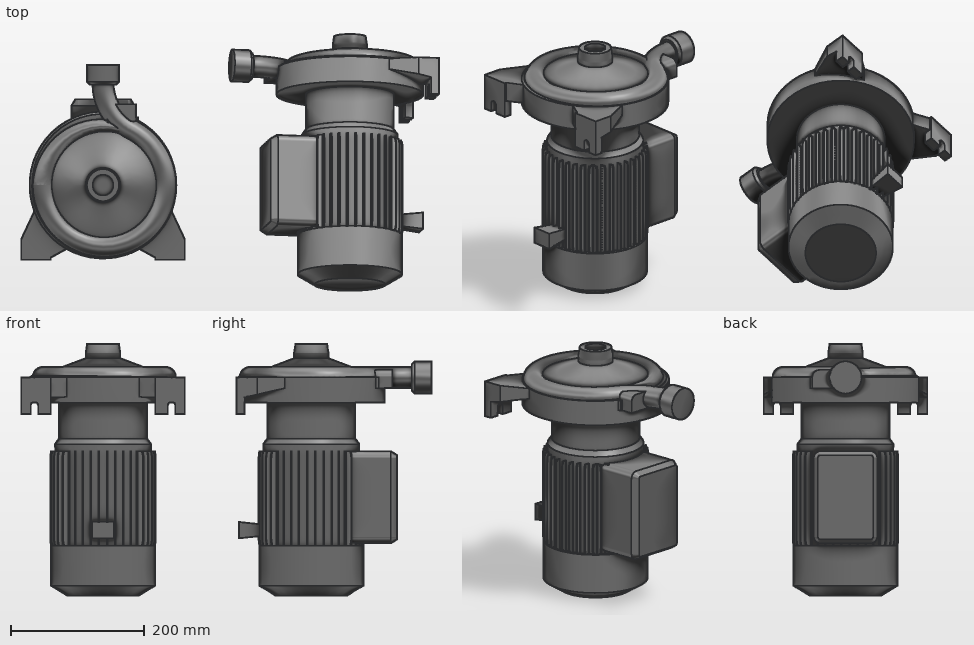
import cadquery as cq
import math

COVER_RADIUS = 78.2
COVER_END_RADIUS = 53.0
COVER_CHAMFER_TOP_Z = 15.4
COVER_TOP_Z = 75.0
CORE_RADIUS = 72.0
FIN_TOP_Z = 216.6
CORE_TOP_Z = 227.0
NECK_RADIUS = 66.0
NECK_BOTTOM_Z = 235.3

FIN_RADIUS = 79.3
FIN_THICKNESS = 1.5
FIN_PITCH_ANGLE = 9.0
FINS_PER_HALF_GROUP = 5
FIN_ROOT_DISTANCE = 45.0
FIN_END_RADIUS = 78.0
FIN_END_ROUND_HEIGHT = 12.0

CASING_RADIUS = 110.0
CASING_BOTTOM_Z = 289.0
CASING_RIM_Z = 326.8
CASING_TOP_Z = 329.4
CASING_BEVEL_WIDTH = 3.6
CONE_BASE_RADIUS = 95.6
INLET_BOTTOM_Z = 355.6
INLET_TAPER_Z = 363.6
INLET_TOP_Z = 377.0
INLET_RADIUS = 26.0
INLET_TOP_RADIUS = 24.0
INLET_BORE_RADIUS = 15.5
INLET_BORE_DEPTH = 11.5

TUBE_RADIUS = 16.0
TUBE_Z = CASING_RIM_Z
VOLUTE_RADIUS = 91.3
VOLUTE_CENTER_X = 2.0
VOLUTE_EXIT_ANGLE = 63.0
TAIL_START_ANGLE = 180.0
TAIL_SECTIONS = 5
TAIL_END_HALF_WIDTH = 8.4
TAIL_END_HALF_HEIGHT = 13.0
TAIL_END_INNER_RADIUS = 79.0
COLLAR_START_Y = 150.0
COLLAR_END_Y = 180.0
COLLAR_RADIUS = 24.1
COLLAR_CHAMFER = 4.5

BLOCK_INNER_Y = 90.0
BLOCK_OUTER_Y = 121.0
BLOCK_OUTER_X = 49.5
BLOCK_INNER_X = 6.0
BLOCK_TOP_Z = 338.0
BLOCK_BOTTOM_Z = 311.0
BLOCK_ROUND = 10.0
STEP_OUTER_X = 52.6
STEP_OUTER_Y = 101.3

FOOT_FACE_Y = -112.0
FOOT_OUTER_X = 122.5
FOOT_INNER_X = 78.0
FOOT_BOTTOM_Z = 272.0
FOOT_LEG_THICKNESS = 12.2
WEB_LOW_Z = 297.0
WEB_HIGH_Z = 310.8
WEB_REAR_Y = -39.5
SLOT_X = 102.6
SLOT_WIDTH = 11.0
SLOT_CENTER_Z = 284.5
WEB_REAR_X = 103.0
WEB_INNER_X = 50.0
WEB_INNER_Y = -93.0
FOOT_FLANK_Y = -81.0
FOOT_NOTCH_Y = -108.5
FOOT_PLAN = [
    (-FOOT_OUTER_X, FOOT_FACE_Y),
    (-FOOT_OUTER_X, FOOT_FLANK_Y),
    (-WEB_REAR_X, WEB_REAR_Y),
    (-WEB_INNER_X, WEB_REAR_Y),
    (-WEB_INNER_X, WEB_INNER_Y),
    (-FOOT_INNER_X, FOOT_NOTCH_Y),
    (-FOOT_INNER_X, FOOT_FACE_Y),
]

BOX_HALF_WIDTH = 47.4
BOX_BOTTOM_Z = 78.4
BOX_OUTER_Y = 128.6
BOX_INNER_Y = 40.0
BOX_CORNER_RADIUS = 10.0
BOX_CHAMFER_DEPTH = 9.8
BOX_CHAMFER_INSET = 6.0

LUG_WIDTH = 32.6
LUG_HEIGHT = 24.8
LUG_CENTER_Z = 98.3
LUG_FACE_Y = -108.5
LUG_LENGTH = 38.5
LUG_DRAFT_ANGLE = 6.0


def revolved(profile):
    """Solid of revolution about Z from (radius, z) points."""
    return cq.Workplane("XZ").polyline(profile).close().revolve(360, (0, 0), (0, 1))


def box_between(x0, x1, y0, y1, z0, z1):
    size = (x1 - x0, y1 - y0, z1 - z0)
    return cq.Workplane("XY").box(*size, centered=False).translate((x0, y0, z0))


def make_body():
    body = revolved([
        (0, 0),
        (COVER_END_RADIUS, 0),
        (COVER_RADIUS, COVER_CHAMFER_TOP_Z),
        (COVER_RADIUS, COVER_TOP_Z),
        (CORE_RADIUS, COVER_TOP_Z),
        (CORE_RADIUS, CORE_TOP_Z),
        (NECK_RADIUS, NECK_BOTTOM_Z),
        (NECK_RADIUS, CASING_BOTTOM_Z),
        (CASING_RADIUS, CASING_BOTTOM_Z),
        (CASING_RADIUS, CASING_RIM_Z),
        (CASING_RADIUS - CASING_BEVEL_WIDTH, CASING_TOP_Z),
        (CONE_BASE_RADIUS, CASING_TOP_Z),
        (INLET_RADIUS, INLET_BOTTOM_Z),
        (INLET_RADIUS, INLET_TAPER_Z),
        (INLET_TOP_RADIUS, INLET_TOP_Z),
        (0, INLET_TOP_Z),
    ])
    bore = (
        cq.Workplane("XY", origin=(0, 0, INLET_TOP_Z))
        .circle(INLET_BORE_RADIUS)
        .extrude(-INLET_BORE_DEPTH)
    )
    return body.cut(bore)


def make_fins():
    """Parallel plates in four groups, trimmed to a round envelope with eased ends."""
    middle_z = (COVER_TOP_Z + FIN_TOP_Z) / 2
    upper_envelope = (
        cq.Workplane("XZ")
        .moveTo(0, middle_z)
        .lineTo(FIN_RADIUS, middle_z)
        .lineTo(FIN_RADIUS, FIN_TOP_Z - FIN_END_ROUND_HEIGHT)
        .tangentArcPoint((FIN_END_RADIUS, FIN_TOP_Z), relative=False)
        .lineTo(0, FIN_TOP_Z)
        .close()
        .revolve(360, (0, 0), (0, 1))
    )
    envelope = upper_envelope.union(upper_envelope.mirror("XY", (0, 0, middle_z)))
    plates = []
    for index in range(FINS_PER_HALF_GROUP):
        angle = math.radians(FIN_PITCH_ANGLE * (index + 0.5))
        offset = FIN_RADIUS * math.sin(angle)
        for side in (-1, 1):
            center = side * offset
            plate = box_between(
                FIN_ROOT_DISTANCE, FIN_RADIUS,
                center - FIN_THICKNESS / 2, center + FIN_THICKNESS / 2,
                COVER_TOP_Z, FIN_TOP_Z,
            ).intersect(envelope)
            for turn in (0, 90, 180, 270):
                plates.append(plate.rotate((0, 0, 0), (0, 0, 1), turn))
    return plates


def tube_arc(bend_radius, start_angle, sweep_angle, center):
    """Round tube bent about a vertical axis through center, counterclockwise from start_angle."""
    tube = (
        cq.Workplane("XZ")
        .center(bend_radius, 0)
        .circle(TUBE_RADIUS)
        .revolve(sweep_angle, (-bend_radius, 0), (-bend_radius, 1))
    )
    return tube.rotate((0, 0, 0), (0, 0, 1), start_angle).translate(center)


def make_volute_ring():
    """Round tube running from the tail around to the outlet."""
    sweep_angle = 360 - TAIL_START_ANGLE + VOLUTE_EXIT_ANGLE
    return tube_arc(VOLUTE_RADIUS, TAIL_START_ANGLE, sweep_angle, (VOLUTE_CENTER_X, 0, TUBE_Z))


def make_volute_tail():
    """Narrowing end of the volute, from the full tube to a slim oval under the outlet."""
    start_inner = VOLUTE_RADIUS - TUBE_RADIUS
    sections = []
    for index in range(TAIL_SECTIONS):
        share = index / (TAIL_SECTIONS - 1)
        angle = TAIL_START_ANGLE + share * (VOLUTE_EXIT_ANGLE - TAIL_START_ANGLE)
        half_width = TUBE_RADIUS + share * (TAIL_END_HALF_WIDTH - TUBE_RADIUS)
        half_height = TUBE_RADIUS + share * (TAIL_END_HALF_HEIGHT - TUBE_RADIUS)
        inner = start_inner + share * (TAIL_END_INNER_RADIUS - start_inner)
        radius = inner + half_width
        radial = cq.Vector(math.cos(math.radians(angle)), math.sin(math.radians(angle)), 0)
        center = cq.Vector(VOLUTE_CENTER_X, 0, TUBE_Z) + radial * radius
        normal = radial.cross(cq.Vector(0, 0, 1))
        plane = cq.Plane(origin=center, xDir=cq.Vector(0, 0, -1), normal=normal)
        oval = cq.Workplane(plane).ellipse(half_height, half_width)
        sections.append(cq.Wire.assembleEdges(oval.vals()[0].Edges()))
    return cq.Workplane(cq.Solid.makeLoft(sections))


def make_outlet():
    """Pipe bending tangentially off the volute into the +Y direction, with an end collar."""
    exit_angle = math.radians(VOLUTE_EXIT_ANGLE)
    exit_x = VOLUTE_CENTER_X + VOLUTE_RADIUS * math.cos(exit_angle)
    bend_radius = exit_x / (1 - math.cos(exit_angle))
    bend_end_y = (VOLUTE_RADIUS + bend_radius) * math.sin(exit_angle)
    bend = tube_arc(bend_radius, 180, VOLUTE_EXIT_ANGLE, (bend_radius, bend_end_y, TUBE_Z))
    collar = (
        cq.Workplane("XZ", origin=(0, COLLAR_END_Y, TUBE_Z))
        .circle(COLLAR_RADIUS)
        .extrude(COLLAR_END_Y - COLLAR_START_Y)
        .faces("<Y")
        .chamfer(COLLAR_CHAMFER)
    )
    return bend.union(collar)


def make_outlet_block():
    """Block beside the outlet pipe, rounded along one top edge, with a small step at its root."""
    block = box_between(
        BLOCK_INNER_X, BLOCK_OUTER_X, BLOCK_INNER_Y, BLOCK_OUTER_Y, BLOCK_BOTTOM_Z, BLOCK_TOP_Z
    )
    block = block.edges(">X and >Z").fillet(BLOCK_ROUND)
    step = box_between(
        BLOCK_INNER_X, STEP_OUTER_X, BLOCK_INNER_Y, STEP_OUTER_Y, BLOCK_BOTTOM_Z, CASING_RIM_Z
    )
    return block.union(step)


def make_foot():
    """Foot on the -X side: sloped web out of the casing and a slotted leg."""
    plan = (
        cq.Workplane("XY", origin=(0, 0, FOOT_BOTTOM_Z))
        .polyline(FOOT_PLAN)
        .close()
        .extrude(CASING_RIM_Z - FOOT_BOTTOM_Z)
    )
    leg_back_y = FOOT_FACE_Y + FOOT_LEG_THICKNESS
    side_profile = (
        cq.Workplane("YZ")
        .polyline([
            (FOOT_FACE_Y, FOOT_BOTTOM_Z),
            (leg_back_y, FOOT_BOTTOM_Z),
            (leg_back_y, WEB_LOW_Z),
            (WEB_REAR_Y, WEB_HIGH_Z),
            (WEB_REAR_Y, CASING_RIM_Z),
            (FOOT_FACE_Y, CASING_RIM_Z),
        ])
        .close()
        .extrude(-FOOT_OUTER_X)
    )
    slot_half = SLOT_WIDTH / 2
    slot = (
        cq.Workplane("XZ", origin=(-SLOT_X, leg_back_y, 0))
        .moveTo(-slot_half, FOOT_BOTTOM_Z)
        .lineTo(slot_half, FOOT_BOTTOM_Z)
        .lineTo(slot_half, SLOT_CENTER_Z)
        .threePointArc((0, SLOT_CENTER_Z + slot_half), (-slot_half, SLOT_CENTER_Z))
        .close()
        .extrude(FOOT_LEG_THICKNESS)
    )
    below_web = box_between(
        -FOOT_INNER_X, 0, FOOT_FACE_Y, leg_back_y, FOOT_BOTTOM_Z, WEB_LOW_Z
    )
    return plan.intersect(side_profile).cut(slot).cut(below_web)


def make_terminal_box():
    height = FIN_TOP_Z - BOX_BOTTOM_Z
    center_z = (FIN_TOP_Z + BOX_BOTTOM_Z) / 2
    return (
        cq.Workplane("XZ", origin=(0, BOX_OUTER_Y, center_z))
        .rect(2 * BOX_HALF_WIDTH, height)
        .extrude(BOX_OUTER_Y - BOX_INNER_Y)
        .edges("|Y")
        .fillet(BOX_CORNER_RADIUS)
        .faces(">Y")
        .chamfer(BOX_CHAMFER_DEPTH, BOX_CHAMFER_INSET)
    )


def make_lug():
    """Drafted lug that widens away from the motor."""
    return (
        cq.Workplane("XZ", origin=(0, LUG_FACE_Y, LUG_CENTER_Z))
        .rect(LUG_WIDTH, LUG_HEIGHT)
        .extrude(-LUG_LENGTH, taper=LUG_DRAFT_ANGLE)
    )


foot = make_foot()
features = make_fins() + [
    make_volute_ring(),
    make_volute_tail(),
    make_outlet(),
    make_outlet_block(),
    foot,
    foot.mirror("YZ"),
    make_terminal_box(),
    make_lug(),
]

result = make_body()
for feature in features:
    result = result.union(feature)